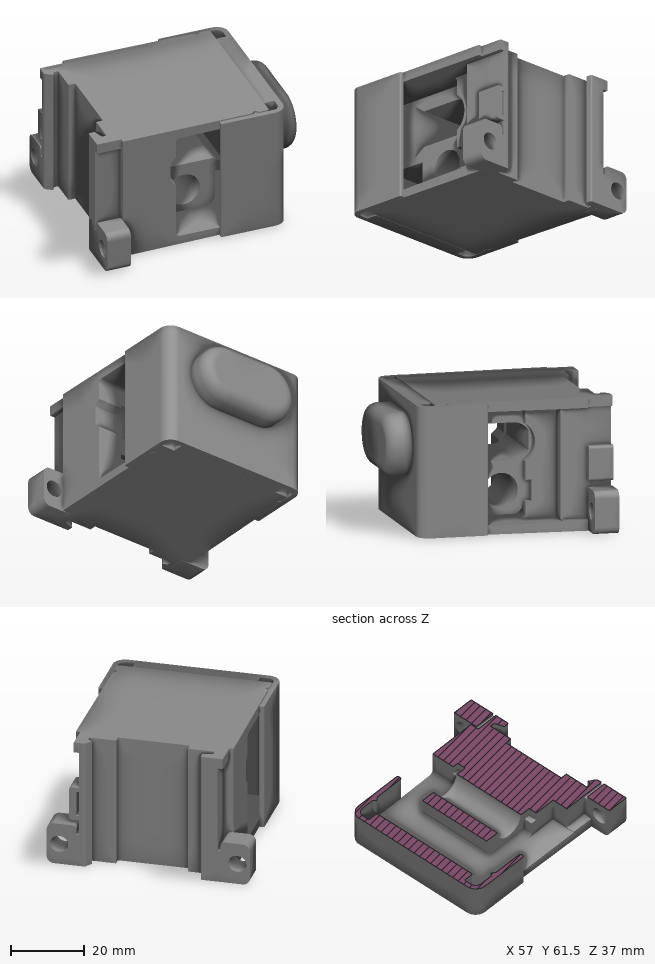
import cadquery as cq
import math

HEIGHT = 37.0
BODY_LENGTH = 50.0
HALF_WIDTH = 22.1
DRAFT = math.tan(math.radians(0.5))
TAPER = BODY_LENGTH * DRAFT
HALF_WIDTH_END = 21.75
END_CORNER_RADIUS = 0.5

FOOT_DEPTH = 6.9
FOOT_HALF_SPAN = 28.5
FOOT_HEIGHT = 12.0
FOOT_RADIUS = 2.0
FOOT_HOLE_X = 25.0
FOOT_HOLE_WIDTH = 5.1
FOOT_HOLE_HEIGHT = 4.7
FOOT_INNER_X = 20.3
FOOT_INNER_RADIUS = 1.0
FOOT_SLIT_Z = 9.3
FLANGE_HALF_WIDTH = 20.9
FLANGE_STEP_Y = 7.1

RAIL_STEP_Y = 6.05
RAIL_STEP_HALF_WIDTH = 10.1
RAIL_Y = 4.05
HOOK_ROOT_Y = 2.75
HOOK_ROOT_X = 17.6
FIXED_HOOK_TIP_X = 16.3
FIXED_HOOK_TIP_Y = 2.2
FIXED_HOOK_BASE_X = 17.75
FIXED_HOOK_RADIUS = 1.1
ROUND_HOOK_TIP_X = 14.7
ROUND_HOOK_TIP_Y = 1.8
ROUND_HOOK_RADIUS = 0.4

RECESS_X = 19.45
RECESS_END_Y = 14.1
RECESS_FLOOR_Z = 3.1
CEILING_Z = 34.05
CORE_HALF_WIDTH = 14.4
CORE_FLOOR_Z = 2.85
CHAMBER_Y = 22.7
CHAMBER_RADIUS = 1.2

CLIP_X = 22.3
CLIP_Z_MIN = 13.7
CLIP_Z_MAX = 23.4
CLIP_RADIUS = 0.8
CLIP_SLOT_X = 20.3
CLIP_SLOT_Z_MIN = 15.0
CLIP_SLOT_Z_MAX = 22.2

LATCH_START_Y = 47.1
LATCH_TIP_Y = 46.2
LATCH_END_Y = 44.8
LATCH_DEPTH = 0.95
TOOTH_CLEARANCE = 0.3

BLOCK_HALF_WIDTH = 11.8
BLOCK_Z_MIN = 3.7
BLOCK_Z_MAX = 33.0
BLOCK_END_Y = 38.1
BLOCK_LOWER_RADIUS = 3.0
BLOCK_UPPER_RADIUS = 2.0
BLOCK_ARM_Z = 14.3
BORE_Y = 28.9
BORE_Z = 10.45
BORE_RADIUS = 4.75
TAB_Y = 20.9
TAB_Z_MIN = 7.5
TAB_Z_MAX = 13.45
SLOT_Z = 23.8
SLOT_RADIUS = 5.2
SLOT_CENTER_Y = 25.5
SLOT_FLAT_Y = 21.1
SLOT_FLARE_Y = 37.5
SLOT_END_Y = 41.2
SLOT_FLARE = 2.5
LOBE_RADIUS = 6.2
LOBE_CENTER_Y = 26.1

CAP_Z_MIN = 0.35
CAP_Z_MAX = HEIGHT - CAP_Z_MIN
CAP_HALF_WIDTH = 23.3
CAP_THICKNESS = 1.55
CAP_TOP_Y = 54.75
CAP_LEG_Y = 35.4
CAP_RADIUS = 3.5
CAP_LEG_RADIUS = 0.5
CAP_BOSS_HALF_WIDTH = 17.6
CAP_BOSS_RADIUS = 0.5

BUTTON_TOP_Y = 61.5
BUTTON_LENGTH = 31.3
BUTTON_HEIGHT = 17.3
BUTTON_ROUND = 3.3
BUTTON_Z = 23.9

SIDES = (-1, 1)


def box(x_min, x_max, y_min, y_max, z_min, z_max):
    size = (x_max - x_min, y_max - y_min, z_max - z_min)
    return cq.Workplane("XY").box(*size, centered=False).translate((x_min, y_min, z_min))


def along_x(profile, half_width):
    """Extrude a closed YZ profile symmetrically about the middle plane."""
    return profile.extrude(half_width, both=True)


def side_half_width(y):
    """Half width of the drafted housing side at the given Y."""
    share = (y - FLANGE_STEP_Y) / (BODY_LENGTH - FLANGE_STEP_Y)
    return HALF_WIDTH + share * (HALF_WIDTH_END - HALF_WIDTH)


def latch_outline(side, clearance):
    """Latch profile pointing inwards; the clearance shrinks it towards the cap."""
    edge = side_half_width(LATCH_TIP_Y)
    return [
        (side * (edge + CAP_THICKNESS / 2), LATCH_START_Y),
        (side * edge, LATCH_START_Y),
        (side * (edge - LATCH_DEPTH), LATCH_TIP_Y + clearance),
        (side * edge, LATCH_END_Y + clearance),
        (side * (edge + CAP_THICKNESS / 2), LATCH_END_Y + clearance),
    ]


def make_shell():
    """Housing block with the rail seat, drafted sides and drafted underside."""
    shell = (
        cq.Workplane("XY")
        .moveTo(-FLANGE_HALF_WIDTH, 0)
        .lineTo(-FIXED_HOOK_BASE_X, 0)
        .lineTo(-FIXED_HOOK_TIP_X, FIXED_HOOK_TIP_Y)
        .lineTo(-HOOK_ROOT_X, HOOK_ROOT_Y)
        .lineTo(-HOOK_ROOT_X, RAIL_Y)
        .lineTo(-RAIL_STEP_HALF_WIDTH, RAIL_Y)
        .lineTo(-RAIL_STEP_HALF_WIDTH, RAIL_STEP_Y)
        .lineTo(RAIL_STEP_HALF_WIDTH, RAIL_STEP_Y)
        .lineTo(RAIL_STEP_HALF_WIDTH, RAIL_Y)
        .lineTo(HOOK_ROOT_X, RAIL_Y)
        .lineTo(HOOK_ROOT_X, HOOK_ROOT_Y)
        .lineTo(ROUND_HOOK_TIP_X, ROUND_HOOK_TIP_Y)
        .lineTo(ROUND_HOOK_TIP_X, 0)
        .lineTo(FLANGE_HALF_WIDTH, 0)
        .lineTo(FLANGE_HALF_WIDTH, FLANGE_STEP_Y)
        .lineTo(HALF_WIDTH, FLANGE_STEP_Y)
        .lineTo(HALF_WIDTH_END, BODY_LENGTH)
        .lineTo(-HALF_WIDTH_END, BODY_LENGTH)
        .lineTo(-HALF_WIDTH, FLANGE_STEP_Y)
        .lineTo(-FLANGE_HALF_WIDTH, FLANGE_STEP_Y)
        .close()
        .extrude(HEIGHT)
    )
    fixed_hook_edge = cq.selectors.NearestToPointSelector((-FIXED_HOOK_BASE_X, 0, HEIGHT / 2))
    shell = shell.edges(fixed_hook_edge).fillet(FIXED_HOOK_RADIUS)
    round_hook_edge = cq.selectors.NearestToPointSelector((ROUND_HOOK_TIP_X, 0, HEIGHT / 2))
    shell = shell.edges(round_hook_edge).fillet(ROUND_HOOK_RADIUS)
    shell = shell.edges("|Z and >Y").fillet(END_CORNER_RADIUS)
    underside = cq.Workplane("YZ").polyline([(0, 0), (BODY_LENGTH, 0), (BODY_LENGTH, TAPER)]).close()
    shell = shell.cut(along_x(underside, FOOT_HALF_SPAN))
    for side in SIDES:
        shell = shell.cut(cq.Workplane("XY").polyline(latch_outline(side, 0)).close().extrude(HEIGHT))
    return shell


def drafted_opening(start_y):
    """YZ outline of the tapered space between floor and ceiling, from start_y to the open end."""
    start_rise = (start_y - RECESS_END_Y) * DRAFT
    end_rise = (BODY_LENGTH - RECESS_END_Y) * DRAFT
    outline = [
        (start_y, CORE_FLOOR_Z - start_rise),
        (BODY_LENGTH, CORE_FLOOR_Z - end_rise),
        (BODY_LENGTH, CEILING_Z + end_rise),
        (start_y, CEILING_Z + start_rise),
    ]
    return cq.Workplane("YZ").polyline(outline).close()


def cut_openings(shell):
    """Open the chamber through X, step the -X side in to the core and recess the foot sides."""
    chamber = along_x(drafted_opening(CHAMBER_Y), FOOT_HALF_SPAN)
    chamber = chamber.edges("|X and <Y").fillet(CHAMBER_RADIUS)
    shell = shell.cut(chamber)
    core_gap = drafted_opening(RECESS_END_Y).extrude(-(FOOT_HALF_SPAN - CORE_HALF_WIDTH))
    shell = shell.cut(core_gap.translate((-CORE_HALF_WIDTH, 0, 0)))
    clip_recess = box(-FOOT_HALF_SPAN, -RECESS_X, 0, RECESS_END_Y, RECESS_FLOOR_Z, CEILING_Z)
    plain_recess = box(RECESS_X, FOOT_HALF_SPAN, 0, FLANGE_STEP_Y, RECESS_FLOOR_Z, CEILING_Z)
    return shell.cut(clip_recess).cut(plain_recess)


def make_foot(side):
    """Mounting lug with a rounded outline, an elongated hole and a slit beside the housing."""
    x_min, x_max = sorted((side * RECESS_X, side * FOOT_HALF_SPAN))
    foot = box(x_min, x_max, 0, FOOT_DEPTH, 0, FOOT_HEIGHT)
    outer = ">X" if side > 0 else "<X"
    foot = foot.edges("|Y").edges(outer).fillet(FOOT_RADIUS)
    slit_min, slit_max = sorted((side * RECESS_X, side * FOOT_INNER_X))
    foot = foot.cut(box(slit_min, slit_max, 0, FOOT_DEPTH, FOOT_SLIT_Z, FOOT_HEIGHT))
    inner_corner = cq.selectors.NearestToPointSelector(
        (side * FOOT_INNER_X, FOOT_DEPTH / 2, FOOT_HEIGHT)
    )
    foot = foot.edges("|Y").edges(inner_corner).fillet(FOOT_INNER_RADIUS)
    hole = (
        cq.Workplane("XZ")
        .center(side * FOOT_HOLE_X, FOOT_HEIGHT / 2)
        .slot2D(FOOT_HOLE_WIDTH, FOOT_HOLE_HEIGHT)
        .extrude(-FOOT_DEPTH)
    )
    return foot.cut(hole)


def make_clip():
    """Hollow clip standing out of the -X recess."""
    clip = box(-CLIP_X, -RECESS_X, 0, FOOT_DEPTH, CLIP_Z_MIN, CLIP_Z_MAX)
    clip = clip.edges("|Y and <X").fillet(CLIP_RADIUS)
    return clip.cut(box(-CLIP_SLOT_X, -RECESS_X, 0, FOOT_DEPTH, CLIP_SLOT_Z_MIN, CLIP_SLOT_Z_MAX))


def block_nose(half_width):
    """Lobe and tab by which the terminal block is keyed into the core."""
    lobe = along_x(cq.Workplane("YZ").center(LOBE_CENTER_Y, SLOT_Z).circle(LOBE_RADIUS), half_width)
    tab = box(-half_width, half_width, TAB_Y, BORE_Y, TAB_Z_MIN, TAB_Z_MAX)
    return lobe.union(tab)


def make_block():
    """Terminal block with the keyed nose and the upper arm that reaches the cap."""
    half = BLOCK_HALF_WIDTH
    block = box(-half, half, CHAMBER_Y, BLOCK_END_Y, BLOCK_Z_MIN, BLOCK_Z_MAX)
    block = block.edges("|X and <Z").fillet(BLOCK_LOWER_RADIUS)
    block = block.edges("|X and >Z and <Y").fillet(BLOCK_UPPER_RADIUS)
    arm = box(-half, half, BORE_Y, BODY_LENGTH, BLOCK_ARM_Z, BLOCK_Z_MAX)
    return block.union(arm).union(block_nose(half))


def block_openings():
    """Round bore and flared slot running through the block and housing along X."""
    bore = along_x(cq.Workplane("YZ").center(BORE_Y, BORE_Z).circle(BORE_RADIUS), FOOT_HALF_SPAN)
    low = SLOT_Z - SLOT_RADIUS
    high = SLOT_Z + SLOT_RADIUS
    slot = along_x(
        cq.Workplane("YZ")
        .moveTo(SLOT_CENTER_Y, low)
        .lineTo(SLOT_FLARE_Y, low)
        .lineTo(SLOT_END_Y, low - SLOT_FLARE)
        .lineTo(SLOT_END_Y, high + SLOT_FLARE)
        .lineTo(SLOT_FLARE_Y, high)
        .lineTo(SLOT_CENTER_Y, high)
        .threePointArc((SLOT_CENTER_Y - SLOT_RADIUS, SLOT_Z), (SLOT_CENTER_Y, low))
        .close(),
        FOOT_HALF_SPAN,
    )
    kept = box(-FOOT_HALF_SPAN, FOOT_HALF_SPAN, SLOT_FLAT_Y, BODY_LENGTH, 0, HEIGHT)
    return bore.union(slot.intersect(kept))


def make_cap():
    """Folded cap with an inner boss and latch teeth on both legs."""
    height = CAP_Z_MAX - CAP_Z_MIN
    inner = CAP_HALF_WIDTH - CAP_THICKNESS
    cap = box(-CAP_HALF_WIDTH, CAP_HALF_WIDTH, CAP_LEG_Y, CAP_TOP_Y, CAP_Z_MIN, CAP_Z_MAX)
    cap = cap.edges("|Z and >Y").fillet(CAP_RADIUS)
    hollow = box(-inner, inner, CAP_LEG_Y, CAP_TOP_Y - CAP_THICKNESS, CAP_Z_MIN, CAP_Z_MAX)
    cap = cap.cut(hollow.edges("|Z and >Y").fillet(CAP_RADIUS - CAP_THICKNESS))
    cap = cap.edges("|Z and <Y").fillet(CAP_LEG_RADIUS)
    boss_half = CAP_BOSS_HALF_WIDTH
    boss = box(-boss_half, boss_half, BODY_LENGTH, CAP_TOP_Y - CAP_THICKNESS, CAP_Z_MIN, CAP_Z_MAX)
    cap = cap.union(boss.edges("|Z and <Y").fillet(CAP_BOSS_RADIUS))
    for side in SIDES:
        tooth = cq.Workplane("XY").polyline(latch_outline(side, TOOTH_CLEARANCE)).close().extrude(height)
        cap = cap.union(tooth.translate((0, 0, CAP_Z_MIN)))
    return cap


def make_button():
    """Stadium-shaped push button with a rounded top edge."""
    button = (
        cq.Workplane("XZ", origin=(0, CAP_TOP_Y, 0))
        .center(0, BUTTON_Z)
        .slot2D(BUTTON_LENGTH, BUTTON_HEIGHT)
        .extrude(CAP_TOP_Y - BUTTON_TOP_Y)
    )
    return button.faces(">Y").edges().fillet(BUTTON_ROUND)


housing = cut_openings(make_shell())
for foot_side in SIDES:
    housing = housing.union(make_foot(foot_side))
housing = housing.union(make_clip())
housing = housing.cut(block_nose(CORE_HALF_WIDTH))
assembly = housing.union(make_block()).cut(block_openings())
result = assembly.union(make_cap()).union(make_button())